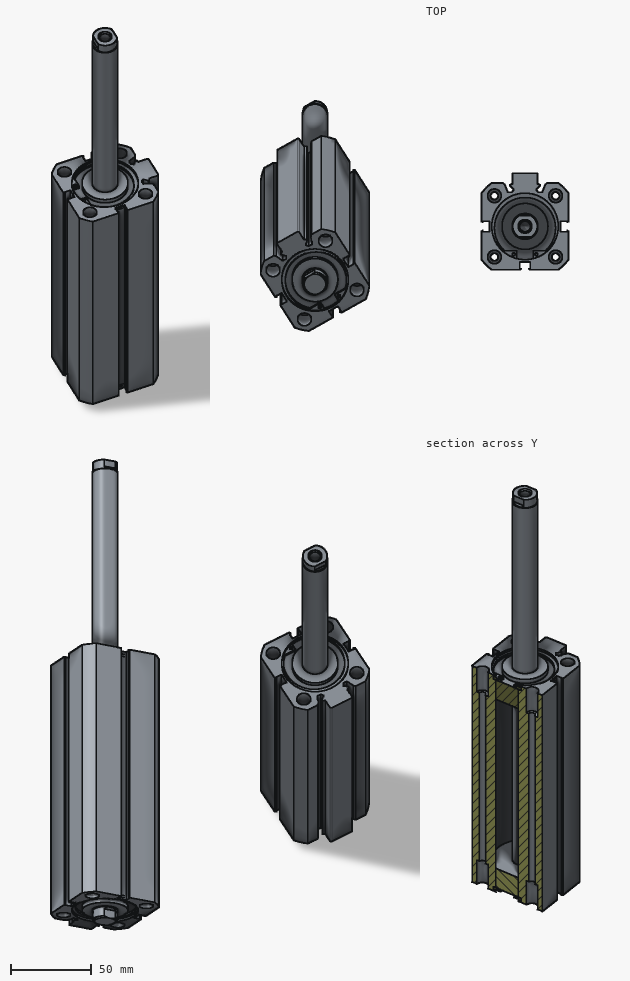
import cadquery as cq
import math

total_length = 303.0
body_width = 54.0
body_length = 164.2
body_base = 7.3
corner_setback = 6.5

rail_top = 33.0
rail_edge_radius = 1.0
rail_half_width = 8.0
rail_lip_half_width = 9.5
rail_lip_outer_y = 26.5
rail_lip_inner_y = 25.0
rail_lip_bevel = 0.5
rail_neck_half_width = 7.0
rail_neck_y = 22.7
groove_floor_y = 21.2
groove_floor_start = 8.2
groove_floor_end = 10.5
groove_mouth_x = 12.5
ear_bevel = 1.2

bolt_offset = 18.95
bolt_radius = 2.27
counterbore_radius = 4.2
counterbore_depth = 18.2

slot_half_width = 3.18
slot_mouth_outer = 3.0
slot_mouth_inner = 2.5
slot_lip = 1.0
slot_depth = 4.8

rod_radius = 8.03
neck_radius = 7.5
upper_neck_length = 6.0
lower_neck_length = 7.0
flat_offset = 6.5
runout_height = 0.75
runout_length = 1.5
rod_end_chamfer = 1.0
thread_radius = 3.3
thread_countersink_radius = 4.2
thread_depth = 15.0
drill_point_angle = 118.0

bore_radius = 20.5
boss_radius = 14.2
collar_recess = 3.0
collar_length = 18.2

ring_thickness = 1.5
ring_inner_radius = 18.95
ring_inner_shift = 1.05
ring_groove_depth = 1.0
lug_inner_y = 15.0
lug_outer_x = 13.5
ring_gap_half_width = 5.0
lug_hole_x = 7.0
lug_hole_y = 17.3
lug_hole_radius = 1.0

half_width = body_width / 2
body_top = body_base + body_length
body_middle = body_base + body_length / 2
ring_outer_radius = bore_radius + ring_groove_depth
flange_top = body_top - collar_recess


def cylinder(radius, base, height):
    return cq.Workplane("XY").workplane(offset=base).circle(radius).extrude(height)


def block(x_min, x_max, y_min, y_max, base, height):
    size_x = x_max - x_min
    size_y = y_max - y_min
    corner = cq.Vector(x_min, y_min, base)
    return cq.Workplane(cq.Solid.makeBox(size_x, size_y, height, corner))


def to_lower_end(body):
    """Mirror a body of the upper end to the lower end of the housing."""
    return body.mirror("XY", (0, 0, body_middle))


def t_slot(angle):
    """Sensor slot along the housing, cut from the -Y side and turned about Z."""
    face = -half_width
    lip_back = face + slot_lip
    floor = face + slot_depth
    right_side = [
        (slot_mouth_outer, face),
        (slot_mouth_inner, lip_back),
        (slot_half_width, lip_back),
        (slot_half_width, floor),
    ]
    left_side = [(-x, y) for x, y in reversed(right_side)]
    slot = cq.Workplane("XY").workplane(offset=body_base).polyline(right_side + left_side).close()
    return slot.extrude(body_length).rotate((0, 0, 0), (0, 0, 1), angle)


def rail_side_space(side):
    """Open space beside the port rail, with an undercut groove at the foot of the rail."""
    outline = [
        (rail_half_width, rail_top),
        (rail_half_width, rail_lip_outer_y),
        (rail_lip_half_width, rail_lip_outer_y - rail_lip_bevel),
        (rail_lip_half_width, rail_lip_inner_y),
        (rail_neck_half_width, rail_neck_y),
        (groove_floor_start, groove_floor_y),
        (groove_floor_end, groove_floor_y),
        (groove_mouth_x, half_width - ear_bevel),
        (groove_mouth_x + ear_bevel, half_width),
        (half_width, half_width),
        (half_width, rail_top),
    ]
    points = [(side * x, y) for x, y in outline]
    return cq.Workplane("XY").workplane(offset=body_base).polyline(points).close().extrude(body_length)


def bolt_pattern(radius, base, height):
    """Four upright cylinders, one at each corner bolt position."""
    places = cq.Workplane("XY").workplane(offset=base)
    places = places.rect(2 * bolt_offset, 2 * bolt_offset, forConstruction=True).vertices()
    return places.circle(radius).extrude(height)


def make_housing():
    body = block(-half_width, half_width, -half_width, rail_top, body_base, body_length)
    for side in (-1, 1):
        body = body.cut(rail_side_space(side))

    body = body.faces(">Y").edges("|Z").fillet(rail_edge_radius)

    corner_radius = math.hypot(half_width, half_width - corner_setback)
    rail = block(-rail_lip_half_width, rail_lip_half_width, 0, rail_top, body_base, body_length)
    body = body.intersect(cylinder(corner_radius, body_base, body_length).union(rail))

    for angle in (0, 90, -90):
        body = body.cut(t_slot(angle))

    body = body.cut(bolt_pattern(bolt_radius, body_base, body_length))
    sockets = bolt_pattern(counterbore_radius, body_top - counterbore_depth, counterbore_depth)
    body = body.cut(sockets).cut(to_lower_end(sockets))

    body = body.cut(cylinder(bore_radius, body_base, body_length))
    groove = cylinder(ring_outer_radius, flange_top, ring_thickness)
    return body.cut(groove).cut(to_lower_end(groove))


def rod_end(end, direction, neck_length):
    """Material to remove at a rod end: a turned neck with two wrench flats."""
    shoulder = end + direction * neck_length
    sleeve = cylinder(rod_radius, min(end, shoulder), neck_length)
    sleeve = sleeve.cut(cylinder(neck_radius, min(end, shoulder), neck_length))
    points = [
        (flat_offset, end),
        (flat_offset, shoulder - direction * runout_length),
        (flat_offset + runout_height, shoulder),
        (rod_radius, shoulder),
        (rod_radius, end),
    ]
    flat = cq.Workplane("YZ").polyline(points).close().extrude(rod_radius, both=True)
    return sleeve.union(flat).union(flat.mirror("XZ"))


def lower_end_bevel():
    """Ring removed to chamfer the lower neck's edge."""
    points = [
        (neck_radius, 0),
        (neck_radius - rod_end_chamfer, 0),
        (neck_radius, rod_end_chamfer),
    ]
    return cq.Workplane("XZ").polyline(points).close().revolve(360, (0, 0), (0, 1))


def make_rod():
    rod = cylinder(rod_radius, 0, total_length)
    rod = rod.cut(rod_end(total_length, -1, upper_neck_length))
    rod = rod.cut(rod_end(0, 1, lower_neck_length)).cut(lower_end_bevel())

    point_length = thread_radius / math.tan(math.radians(drill_point_angle / 2))
    hole_bottom = total_length - thread_depth
    hole_outline = [
        (0, total_length),
        (thread_countersink_radius, total_length),
        (thread_radius, total_length - (thread_countersink_radius - thread_radius)),
        (thread_radius, hole_bottom),
        (0, hole_bottom - point_length),
    ]
    hole = cq.Workplane("XZ").polyline(hole_outline).close().revolve(360, (0, 0), (0, 1))
    return rod.cut(hole)


def make_collar():
    flange = cylinder(bore_radius, body_top - collar_length, collar_length - collar_recess)
    boss = cylinder(boss_radius, flange_top, collar_recess)
    return flange.union(boss).cut(cylinder(rod_radius, 0, total_length))


def make_snap_ring():
    disc = cylinder(ring_outer_radius, flange_top, ring_thickness)
    opening = cylinder(ring_inner_radius, flange_top, ring_thickness)
    ring = disc.cut(opening.translate((0, -ring_inner_shift, 0)))
    lugs = block(
        -lug_outer_x, lug_outer_x, -ring_outer_radius, -lug_inner_y, flange_top, ring_thickness
    )
    ring = ring.union(lugs.intersect(disc))
    gap = block(
        -ring_gap_half_width, ring_gap_half_width, -ring_outer_radius, 0, flange_top, ring_thickness
    )
    ring = ring.cut(gap)
    hole = cylinder(lug_hole_radius, flange_top, ring_thickness)
    for side in (-1, 1):
        ring = ring.cut(hole.translate((side * lug_hole_x, -lug_hole_y, 0)))
    return ring


housing = make_housing()
rod = make_rod()
collar = make_collar()
snap_ring = make_snap_ring()

collars = [collar, to_lower_end(collar)]
snap_rings = [snap_ring, to_lower_end(snap_ring)]

result = cq.Compound.makeCompound(
    [housing.val(), rod.val()]
    + [body.val() for body in collars]
    + [body.val() for body in snap_rings]
)